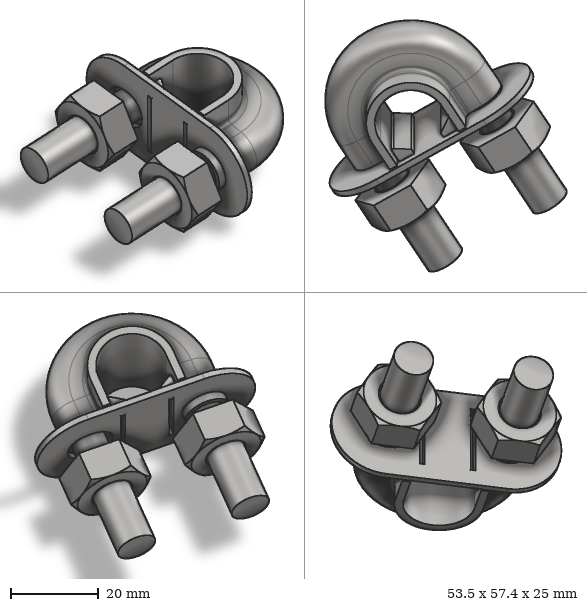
import cadquery as cq
import math


BEND_RADIUS = 13.95
ROD_DIAMETER = 8.2
THREAD_DIAMETER = 9.2
LEG_LENGTH = 37.8

LINER_INNER_RADIUS = 8.2
LINER_OUTER_RADIUS = 10.15
LINER_HEIGHT = 25.0
RIDGE_RADIUS = 5.6
RIDGE_DRAFT = math.radians(5)
RIDGE_FILLET = 1.25
SADDLE_LEG = 7.4

PLATE_LENGTH = 53.5
PLATE_HEIGHT = LINER_HEIGHT
PLATE_THICKNESS = 1.5
PLATE_GAP = 0.45
PLATE_SHIFT = -0.25
PLATE_TOP = -(SADDLE_LEG + PLATE_GAP)
PLATE_BOTTOM = PLATE_TOP - PLATE_THICKNESS
COLLAR_DIAMETER = 10.8
COLLAR_BORE = 8.4
COLLAR_HEIGHT = 2.0
OPEN_SLOT_LENGTH = 10.95
OPEN_SLOT_WIDTH = 10.0

TAB_OUTER = 7.85
TAB_CREST = 7.25
TAB_INNER = 3.9
TAB_TALL = 3.5
TAB_LOW = 1.25
TAB_LENGTH = 19.85
SLOT_OUTER = 6.5
SLOT_INNER = 5.35
SLOT_LENGTH = 17.0
SLOT_ROOF = PLATE_THICKNESS

NUT_ACROSS_FLATS = 17.0
NUT_ACROSS_CORNERS = NUT_ACROSS_FLATS / math.cos(math.radians(30))
NUT_THICKNESS = 8.1
NUT_BACK = -14.7
NUT_FRONT = NUT_BACK - NUT_THICKNESS
NUT_CHAMFER_ANGLE = math.radians(30)
COUNTERSINK_DIAMETER = 10.0

SIDES = (-1, 1)


def cylinder(x, y_top, y_bottom, diameter):
    """Round bar along Y, from y_top down to y_bottom."""
    return (
        cq.Workplane("XZ", origin=(x, y_top, 0))
        .circle(diameter / 2)
        .extrude(y_top - y_bottom)
    )


def u_shape(profile, leg):
    """Carry a section in the XZ plane around the bend and straight down both legs."""
    bend = profile().revolve(180, (0, 0), (0, 1))
    straight = profile().extrude(leg)
    return bend.union(straight).union(straight.mirror("YZ"))


def rod_section():
    return cq.Workplane("XZ").moveTo(BEND_RADIUS, 0).circle(ROD_DIAMETER / 2)


def saddle_section():
    """Liner strip with a round-backed ridge, blended by a fillet on each side."""
    half_height = LINER_HEIGHT / 2
    tangent_r = BEND_RADIUS + RIDGE_RADIUS * math.sin(RIDGE_DRAFT)
    tangent_z = RIDGE_RADIUS * math.cos(RIDGE_DRAFT)
    corner_z = tangent_z + (tangent_r - LINER_OUTER_RADIUS) * math.tan(RIDGE_DRAFT)
    setback = RIDGE_FILLET * math.tan((math.pi / 2 - RIDGE_DRAFT) / 2)
    fillet_r = LINER_OUTER_RADIUS + setback * math.cos(RIDGE_DRAFT)
    fillet_z = corner_z - setback * math.sin(RIDGE_DRAFT)
    liner_z = corner_z + setback
    return (
        cq.Workplane("XZ")
        .moveTo(LINER_INNER_RADIUS, -half_height)
        .lineTo(LINER_OUTER_RADIUS, -half_height)
        .lineTo(LINER_OUTER_RADIUS, -liner_z)
        .tangentArcPoint((fillet_r, -fillet_z), relative=False)
        .lineTo(tangent_r, -tangent_z)
        .threePointArc((BEND_RADIUS + RIDGE_RADIUS, 0), (tangent_r, tangent_z))
        .lineTo(fillet_r, fillet_z)
        .tangentArcPoint((LINER_OUTER_RADIUS, liner_z), relative=False)
        .lineTo(LINER_OUTER_RADIUS, half_height)
        .lineTo(LINER_INNER_RADIUS, half_height)
        .close()
    )


def make_u_bolt():
    bolt = u_shape(rod_section, -NUT_BACK)
    for side in SIDES:
        bolt = bolt.union(cylinder(side * BEND_RADIUS, NUT_BACK, -LEG_LENGTH, THREAD_DIAMETER))
    return bolt


def make_saddle():
    channel = u_shape(rod_section, SADDLE_LEG)
    return u_shape(saddle_section, SADDLE_LEG).cut(channel)


def prism(points, length):
    """Prism along Z, centred on the XY plane."""
    return cq.Workplane("XY").polyline(points).close().extrude(length / 2, both=True)


def tab_slope_y(x):
    """Y of the sloping tab face at distance x from the YZ plane."""
    rise = (TAB_TALL - TAB_LOW) / (TAB_CREST - TAB_INNER)
    return PLATE_TOP + TAB_LOW + rise * (x - TAB_INNER)


def make_tab():
    return prism(
        [
            (TAB_INNER, PLATE_TOP),
            (TAB_OUTER, PLATE_TOP),
            (TAB_OUTER, PLATE_TOP + TAB_TALL),
            (TAB_CREST, PLATE_TOP + TAB_TALL),
            (TAB_INNER, PLATE_TOP + TAB_LOW),
        ],
        TAB_LENGTH,
    )


def make_tab_slot():
    """Slot through the plate into the tab, with a floor parallel to the tab slope."""
    return prism(
        [
            (SLOT_INNER, PLATE_BOTTOM),
            (SLOT_OUTER, PLATE_BOTTOM),
            (SLOT_OUTER, tab_slope_y(SLOT_OUTER) - SLOT_ROOF),
            (SLOT_INNER, tab_slope_y(SLOT_INNER) - SLOT_ROOF),
        ],
        SLOT_LENGTH,
    )


def make_plate():
    plate = (
        cq.Workplane("XZ", origin=(PLATE_SHIFT, PLATE_TOP, 0))
        .slot2D(PLATE_LENGTH, PLATE_HEIGHT)
        .extrude(PLATE_THICKNESS)
    )
    tab = make_tab()
    plate = plate.union(tab).union(tab.mirror("YZ"))
    slot = make_tab_slot()
    plate = plate.cut(slot).cut(slot.mirror("YZ"))

    collar_end = PLATE_BOTTOM - COLLAR_HEIGHT
    plate = plate.union(cylinder(BEND_RADIUS, PLATE_BOTTOM, collar_end, COLLAR_DIAMETER))
    plate = plate.cut(cylinder(BEND_RADIUS, PLATE_TOP, collar_end, COLLAR_BORE))

    open_slot = (
        cq.Workplane("XZ", origin=(-BEND_RADIUS, PLATE_TOP, 0))
        .slot2D(OPEN_SLOT_LENGTH, OPEN_SLOT_WIDTH)
        .extrude(PLATE_THICKNESS)
    )
    return plate.cut(open_slot)


def make_nut(x):
    """Hex nut with corners on the X axis, chamfered and countersunk on its outer face."""
    hexagon = (
        cq.Workplane("XZ", origin=(x, NUT_BACK, 0))
        .polygon(6, NUT_ACROSS_CORNERS)
        .extrude(NUT_THICKNESS)
    )
    corner_radius = NUT_ACROSS_CORNERS / 2
    flat_radius = NUT_ACROSS_FLATS / 2
    chamfer_depth = (corner_radius - flat_radius) * math.tan(NUT_CHAMFER_ANGLE)
    envelope = (
        cq.Workplane("XY", origin=(x, 0, 0))
        .polyline(
            [
                (0, NUT_BACK),
                (corner_radius, NUT_BACK),
                (corner_radius, NUT_FRONT + chamfer_depth),
                (flat_radius, NUT_FRONT),
                (0, NUT_FRONT),
            ]
        )
        .close()
        .revolve(360, (0, 0), (0, 1))
    )
    hole = cylinder(x, NUT_BACK, NUT_FRONT, THREAD_DIAMETER)
    countersink_depth = (COUNTERSINK_DIAMETER - THREAD_DIAMETER) / 2
    nut = hexagon.intersect(envelope).cut(hole)
    bore_edge = nut.faces("<Y").edges(cq.selectors.RadiusNthSelector(0))
    return bore_edge.chamfer(countersink_depth)


u_bolt = make_u_bolt()
saddle = make_saddle()
plate = make_plate()
nuts = [make_nut(side * BEND_RADIUS) for side in SIDES]

result = cq.Compound.makeCompound(
    [u_bolt.val(), saddle.val(), plate.val(), *[nut.val() for nut in nuts]]
)